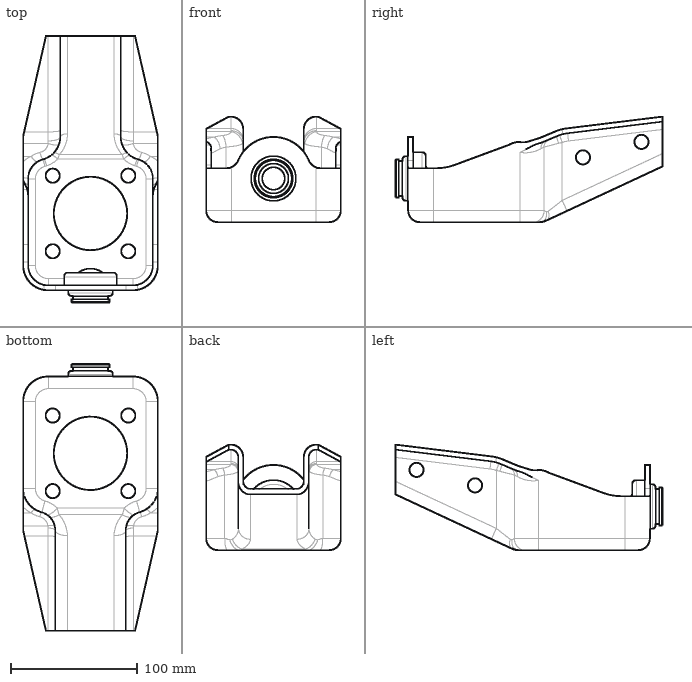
import cadquery as cq
import math


overall_length = 212.0
thickness = 4.0
overall_width = 107.0
half_width = overall_width / 2
front_y = -61.0
back_y = 141.0
channel_half_width = 28.0
front_corner_radius = 20.0
shoulder_radius = 20.0
shoulder_y = 27.5
neck_radius = 14.8
taper_start_y = 61.3
back_half_width = 35.5

floor_edge_radius = 9.5
ramp_bend_radius = 12.5
flange_root_radius = 6.0

ramp_start_y = 46.0
ramp_angle = math.radians(25)
back_top_z = 84.0
flange_kink_y = 60.2
flange_kink_radius = 34.0
flange_slope = math.radians(7)
flange_drop_slope = math.radians(23)
flange_drop_end_y = 45.5
flange_sweep_radius = 31.8
flange_rise_slope = math.radians(15)

rim_z = 43.0
rim_slope = math.radians(20.3)
rim_slope_start_y = -31.0
rim_bend_radius = 40.0
rim_slope_end_y = 19.0
rim_peak_y = 27.5
rim_peak_z = 64.0
rim_peak_bulge = 0.53

tab_radius = 30.3
tab_top_z = 67.8
tab_root_radius = 10.0
spindle_z = 34.8
puck_radius = 21.0
puck_end_y = -46.9
puck_edge_radius = 3.2
dome_radius = 9.5
dome_height = 3.2
collar_radius = 17.8
collar_edge_radius = 2.8
collar_end_y = -65.5
groove_radius = 14.0
lip_radius = 15.3
lip_start_y = -68.3
lip_edge = 0.8
spindle_end_y = back_y - overall_length
socket_mouth_radius = 11.9
socket_radius = 9.0
socket_flare_depth = 4.0
socket_straight_end_y = -57.2
socket_dome_height = 5.3

main_hole_diameter = 58.0
bolt_hole_diameter = 11.0
bolt_spacing = 60.0
side_hole_places = [(124.2, 63.8), (77.8, 51.5)]

margin = 31.8
tool_half_width = half_width + margin
tool_front_y = front_y - margin
tool_back_y = back_y + margin
tool_top_z = 159.0
tool_bottom_z = -margin


def on_circle(center, radius, angle):
    """Point on a circle at an angle from its first axis."""
    return (center[0] + radius * math.cos(angle), center[1] + radius * math.sin(angle))


def wall_outline():
    """Outer face of the walls in plan: a box that necks down to an open channel."""
    corner_x = half_width - front_corner_radius
    corner_center = (corner_x, front_y + front_corner_radius)
    shoulder_center = (half_width - shoulder_radius, shoulder_y)
    neck_x = channel_half_width + neck_radius
    center_gap_x = neck_x - shoulder_center[0]
    center_gap = shoulder_radius + neck_radius
    turn = math.acos(center_gap_x / center_gap)
    neck_center = (neck_x, shoulder_y + center_gap * math.sin(turn))
    return (
        cq.Workplane("XY")
        .moveTo(0, front_y)
        .lineTo(corner_x, front_y)
        .threePointArc(
            on_circle(corner_center, front_corner_radius, -math.pi / 4),
            (half_width, corner_center[1]),
        )
        .lineTo(half_width, shoulder_y)
        .threePointArc(
            on_circle(shoulder_center, shoulder_radius, turn / 2),
            on_circle(shoulder_center, shoulder_radius, turn),
        )
        .threePointArc(
            on_circle(neck_center, neck_radius, math.pi + turn / 2),
            (channel_half_width, neck_center[1]),
        )
        .lineTo(channel_half_width, tool_back_y)
        .lineTo(0, tool_back_y)
        .mirrorY()
    )


def inset(outline, depth):
    """Shrink a closed outline inwards by a depth."""
    return outline.offset2D(-depth) if depth > 0 else outline


def across(outline_yz, depth):
    """Extrude a closed YZ outline over the full tool width, inset by a depth."""
    return inset(outline_yz, depth).extrude(tool_half_width, both=True)


def bowl(depth):
    """Space inside the walls and above the floor, at a depth inside the outer face."""
    ramp_rise = (tool_back_y - ramp_start_y) * math.tan(ramp_angle)
    side = cq.Workplane("YZ").polyline([
        (tool_front_y, 0),
        (ramp_start_y, 0),
        (tool_back_y, ramp_rise),
        (tool_back_y, tool_top_z),
        (tool_front_y, tool_top_z),
    ]).close()
    above_floor = (
        across(side, depth)
        .edges(cq.selectors.NearestToPointSelector((0, ramp_start_y, depth)))
        .fillet(ramp_bend_radius - depth)
    )
    plan = inset(wall_outline(), depth).extrude(2 * tool_top_z, both=True)
    space = plan.intersect(above_floor)
    return space.faces("<Z").edges("<Y").fillet(floor_edge_radius - depth)


def flange_block(depth):
    """Everything below the flange, at a depth under its top face."""
    kink_z = back_top_z - (back_y - flange_kink_y) * math.tan(flange_slope)
    drop_end_z = kink_z - (flange_kink_y - flange_drop_end_y) * math.tan(flange_drop_slope)
    sweep_center = (
        flange_drop_end_y - flange_sweep_radius * math.sin(flange_drop_slope),
        drop_end_z + flange_sweep_radius * math.cos(flange_drop_slope),
    )
    down = -math.pi / 2
    sweep_end = on_circle(sweep_center, flange_sweep_radius, down - flange_rise_slope)
    front_z = sweep_end[1] + (sweep_end[0] - tool_front_y) * math.tan(flange_rise_slope)
    side = (
        cq.Workplane("YZ")
        .moveTo(tool_back_y, back_top_z + (tool_back_y - back_y) * math.tan(flange_slope))
        .lineTo(flange_kink_y, kink_z)
        .lineTo(flange_drop_end_y, drop_end_z)
        .threePointArc(on_circle(sweep_center, flange_sweep_radius, down), sweep_end)
        .lineTo(tool_front_y, front_z)
        .lineTo(tool_front_y, tool_bottom_z)
        .lineTo(tool_back_y, tool_bottom_z)
        .close()
    )
    return (
        across(side, depth)
        .edges(cq.selectors.NearestToPointSelector((0, flange_kink_y, kink_z - depth)))
        .fillet(flange_kink_radius - depth)
    )


def material_under(height):
    """Solid below a surface that runs at a height above the outer, lower face of the sheet."""
    flange_depth = thickness - height
    block = flange_block(flange_depth).cut(bowl(height))
    rim_x = channel_half_width - height
    rim_z_at_back = back_top_z - flange_depth
    right_rim = cq.selectors.NearestToPointSelector((rim_x, back_y, rim_z_at_back))
    left_rim = cq.selectors.NearestToPointSelector((-rim_x, back_y, rim_z_at_back))
    return block.edges(right_rim).add(block.edges(left_rim)).fillet(flange_root_radius + height)


def trim_outline():
    """Plan limits of the sheet: straight sides, tapering along the flanges."""
    corners = [
        (half_width, front_y - thickness),
        (half_width, taper_start_y),
        (back_half_width, back_y),
    ]
    mirrored = [(-x, y) for x, y in reversed(corners)]
    base = cq.Workplane("XY", origin=(0, 0, -thickness))
    return base.polyline(corners + mirrored).close().extrude(tool_top_z)


def front_tab():
    """Round-topped tab profile through the front wall, with filleted roots."""
    center = (0, tab_top_z - tab_radius)
    root_z = rim_z + tab_root_radius
    root_x = math.sqrt((tab_radius + tab_root_radius) ** 2 - (root_z - center[1]) ** 2)
    lean = math.atan2(root_z - center[1], root_x)
    touch = on_circle(center, tab_radius, lean)
    root_angle = (lean + math.pi + 1.5 * math.pi) / 2
    root_mid = on_circle((root_x, root_z), tab_root_radius, root_angle)
    return (
        cq.Workplane("XZ", origin=(0, front_y + thickness, 0))
        .moveTo(-root_x, rim_z)
        .threePointArc((-root_mid[0], root_mid[1]), (-touch[0], touch[1]))
        .threePointArc((0, tab_top_z), touch)
        .threePointArc(root_mid, (root_x, rim_z))
        .close()
        .extrude(margin)
    )


def rim_waste():
    """Material above the rim of the box, leaving the front tab standing."""
    slope_end_z = rim_z + (rim_slope_end_y - rim_slope_start_y) * math.tan(rim_slope)
    middle_y = (rim_slope_end_y + rim_peak_y) / 2
    middle_z = (slope_end_z + rim_peak_z) / 2 + rim_peak_bulge
    above_rim = (
        cq.Workplane("YZ")
        .moveTo(tool_front_y, rim_z)
        .lineTo(rim_slope_start_y, rim_z)
        .lineTo(rim_slope_end_y, slope_end_z)
        .threePointArc((middle_y, middle_z), (rim_peak_y, rim_peak_z))
        .lineTo(rim_peak_y, tool_top_z)
        .lineTo(tool_front_y, tool_top_z)
        .close()
        .extrude(tool_half_width, both=True)
        .edges(cq.selectors.NearestToPointSelector((0, rim_slope_start_y, rim_z)))
        .fillet(rim_bend_radius)
    )
    return above_rim.cut(front_tab())


def spindle():
    """Turned spindle in the front wall: domed puck inside, grooved collar and socket outside."""
    center_y = front_y + thickness / 2
    axis = cq.Workplane("XZ", origin=(0, center_y, spindle_z))

    def disc(radius, start_y, end_y):
        return axis.workplane(offset=center_y - start_y).circle(radius).extrude(start_y - end_y)

    puck = disc(puck_radius, puck_end_y, center_y).faces(">Y").edges().fillet(puck_edge_radius)
    collar = disc(collar_radius, center_y, collar_end_y).faces("<Y").edges().fillet(collar_edge_radius)
    groove = disc(groove_radius, center_y, spindle_end_y)
    lip = disc(lip_radius, lip_start_y, spindle_end_y).faces("<Y").edges().chamfer(lip_edge)
    dome = spherical_cap(dome_radius, puck_end_y, dome_height)
    return puck.union(collar).union(groove).union(lip).union(dome)


def cap_sphere_radius(base_radius, height):
    """Radius of the sphere that a cap of given base radius and height is cut from."""
    return (base_radius ** 2 + height ** 2) / (2 * height)


def spherical_cap(base_radius, base_y, height):
    """Shallow dome on the spindle axis, rising towards +Y."""
    sphere_radius = cap_sphere_radius(base_radius, height)
    sphere_center_y = base_y + height - sphere_radius
    sphere = cq.Workplane("XY").sphere(sphere_radius).translate((0, sphere_center_y, spindle_z))
    cap_room = cq.Workplane("XZ", origin=(0, base_y, spindle_z)).circle(sphere_radius).extrude(-height)
    return sphere.intersect(cap_room)


def socket():
    """Blind socket in the spindle end: flared mouth, straight bore and domed bottom."""
    flare_end_y = spindle_end_y + socket_flare_depth
    sphere_radius = cap_sphere_radius(socket_radius, socket_dome_height)
    dome_tip_y = socket_straight_end_y + socket_dome_height
    half_spread = math.asin(socket_radius / sphere_radius) / 2
    dome_middle = on_circle((0, dome_tip_y - sphere_radius), sphere_radius, math.pi / 2 - half_spread)
    return (
        cq.Workplane("XY", origin=(0, 0, spindle_z))
        .moveTo(0, spindle_end_y)
        .lineTo(socket_mouth_radius, spindle_end_y)
        .lineTo(socket_radius, flare_end_y)
        .lineTo(socket_radius, socket_straight_end_y)
        .threePointArc(dome_middle, (0, dome_tip_y))
        .close()
        .revolve(360, (0, 0), (0, 1))
    )


def floor_holes():
    """Large central opening and four bolt holes through the floor."""
    main_hole = cq.Workplane("XY").circle(main_hole_diameter / 2)
    bolt_holes = cq.Workplane("XY").rect(bolt_spacing, bolt_spacing, forConstruction=True).vertices()
    depth = 2 * thickness
    return main_hole.extrude(depth).union(bolt_holes.circle(bolt_hole_diameter / 2).extrude(depth))


def side_holes():
    """Cross holes through both walls of the channel."""
    places = cq.Workplane("YZ").pushPoints(side_hole_places)
    return places.circle(bolt_hole_diameter / 2).extrude(tool_half_width, both=True)


sheet = material_under(thickness).cut(material_under(0))
sheet = sheet.intersect(trim_outline()).cut(rim_waste())
result = sheet.union(spindle()).cut(socket()).cut(floor_holes()).cut(side_holes())